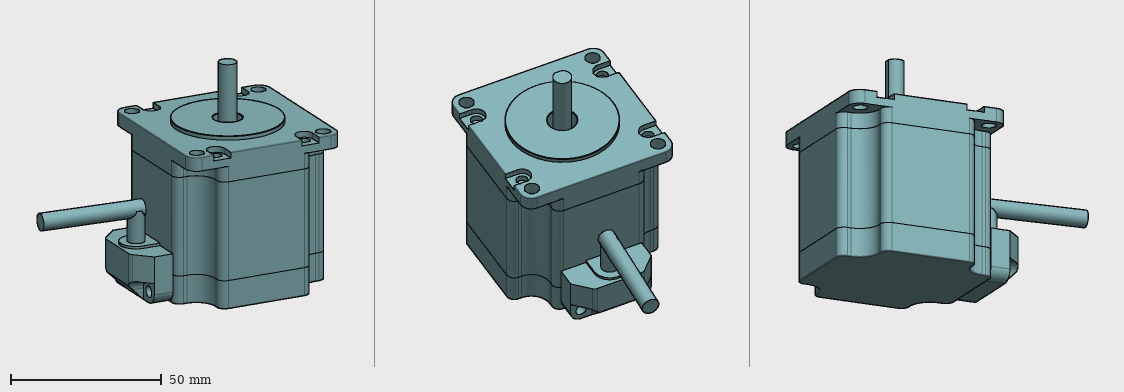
import cadquery as cq
import math


COS_45 = math.sqrt(0.5)

TOTAL_LENGTH = 97.0
BODY_WIDTH = 56.4
HALF_WIDTH = BODY_WIDTH / 2
REAR_CAP_TOP = 10.0
STATOR_TOP = 44.7
FLANGE_TOP = 55.0
PLATE_THICKNESS = 4.85
PLATE_BOTTOM = FLANGE_TOP - PLATE_THICKNESS
PLATE_CORNER_RADIUS = 4.1
PLATE_EDGE_RADIUS = 0.2
CAP_EDGE_RADIUS = 0.3

CHANNEL_RADIUS = 7.0
CHANNEL_CENTER = 24.1
CHANNEL_SIDE = CHANNEL_CENTER - CHANNEL_RADIUS
CHANNEL_LIP_RADIUS = 2.9

PILOT_DIAMETER = 38.1
PILOT_HEIGHT = 1.5
PILOT_CHAMFER = 0.2
BORE_DIAMETER = 10.0
BORE_CHAMFER = 0.2
MOUNT_HOLE_DIAMETER = 5.0
MOUNT_HOLE_OFFSET = 23.6
SCREW_HOLE_DIAMETER = 4.0
SCREW_HOLE_DEPTH = 2.0
SCREW_X = MOUNT_HOLE_OFFSET
SCREW_Y = 16.5
SCREW_SLOT_WIDTH = 6.3
SCREW_SLOT_DEPTH = 2.0

SHAFT_DIAMETER = 6.3
SHAFT_TOP = 76.0
SHAFT_FLAT_BOTTOM = 60.2
SHAFT_FLAT_DEPTH = 0.3

HOUSING_WIDTH = 30.2
HOUSING_DEPTH = 13.0
HOUSING_BOTTOM = 0.2
HOUSING_TOP = 17.6
HOUSING_CHAMFER = 6.0
HOUSING_EDGE_RADIUS = 2.0
LUG_RADIUS = 4.0
LUG_THICKNESS = 7.0
LUG_HOLE_DIAMETER = 4.0
LUG_X = HOUSING_WIDTH / 2 - LUG_RADIUS
LUG_Z = HOUSING_BOTTOM + LUG_RADIUS
WALL_Y = -HALF_WIDTH
HOUSING_FRONT_Y = WALL_Y - HOUSING_DEPTH

CABLE_DIAMETER = 6.0
CABLE_RADIUS = CABLE_DIAMETER / 2
RISER_WALL_DISTANCE = 6.0
RISER_Y = WALL_Y - RISER_WALL_DISTANCE
GROMMET_WIDTH = 11.5
GROMMET_THICKNESS = 0.9
GROMMET_TOP = HOUSING_TOP + GROMMET_THICKNESS
LEAD_Z = 29.7
LEAD_START_Y = -31.8
LEAD_ANGLE = 4.0


def corner_channel_cutter(bottom, top):
    """Blank that is removed at the +X +Y corner: a round channel with rounded lips."""
    lip_start = CHANNEL_SIDE - CHANNEL_LIP_RADIUS
    lip_end = HALF_WIDTH - CHANNEL_LIP_RADIUS
    lip_mid_in = CHANNEL_SIDE - CHANNEL_LIP_RADIUS * (1 - COS_45)
    lip_mid_out = HALF_WIDTH - CHANNEL_LIP_RADIUS * (1 - COS_45)
    channel_mid = CHANNEL_CENTER - CHANNEL_RADIUS * COS_45
    return (
        cq.Workplane("XY", origin=(0, 0, bottom))
        .moveTo(lip_start, HALF_WIDTH)
        .threePointArc((lip_mid_in, lip_mid_out), (CHANNEL_SIDE, lip_end))
        .lineTo(CHANNEL_SIDE, CHANNEL_CENTER)
        .threePointArc((channel_mid, channel_mid), (CHANNEL_CENTER, CHANNEL_SIDE))
        .lineTo(lip_end, CHANNEL_SIDE)
        .threePointArc((lip_mid_out, lip_mid_in), (HALF_WIDTH, lip_start))
        .lineTo(HALF_WIDTH, HALF_WIDTH)
        .close()
        .extrude(top - bottom)
    )


def body_section(bottom, top):
    """Length of the square motor body with a channel along each corner."""
    block = cq.Workplane("XY", origin=(0, 0, bottom)).rect(BODY_WIDTH, BODY_WIDTH).extrude(top - bottom)
    cutter = corner_channel_cutter(bottom, top)
    for quarter in range(4):
        block = block.cut(cutter.rotate((0, 0, 0), (0, 0, 1), 90 * quarter))
    return block


def make_flange():
    """Mounting plate with a pilot disc on top and a short body section below."""
    plate = (
        cq.Workplane("XY", origin=(0, 0, PLATE_BOTTOM))
        .rect(BODY_WIDTH, BODY_WIDTH)
        .extrude(PLATE_THICKNESS)
        .edges("|Z")
        .fillet(PLATE_CORNER_RADIUS)
        .faces(">Z")
        .edges()
        .fillet(PLATE_EDGE_RADIUS)
    )
    pilot = (
        cq.Workplane("XY", origin=(0, 0, FLANGE_TOP))
        .circle(PILOT_DIAMETER / 2)
        .extrude(PILOT_HEIGHT)
        .faces(">Z")
        .chamfer(PILOT_CHAMFER)
    )
    flange = plate.union(pilot).union(body_section(STATOR_TOP, PLATE_BOTTOM))

    pilot_top = FLANGE_TOP + PILOT_HEIGHT
    bore_depth = pilot_top - STATOR_TOP
    bore = cq.Workplane("XY", origin=(0, 0, STATOR_TOP)).circle(BORE_DIAMETER / 2).extrude(bore_depth)
    flange = flange.cut(bore)
    smallest_circle = cq.selectors.RadiusNthSelector(0)
    flange = flange.faces(">Z").edges("%CIRCLE").edges(smallest_circle).chamfer(BORE_CHAMFER)

    mount_pitch = 2 * MOUNT_HOLE_OFFSET
    mount_holes = (
        cq.Workplane("XY", origin=(0, 0, PLATE_BOTTOM))
        .rect(mount_pitch, mount_pitch, forConstruction=True)
        .vertices()
        .circle(MOUNT_HOLE_DIAMETER / 2)
        .extrude(PLATE_THICKNESS)
    )
    flange = flange.cut(mount_holes)

    slot_floor = FLANGE_TOP - SCREW_SLOT_DEPTH
    for side in (-1, 1):
        for y in (-SCREW_Y, SCREW_Y):
            slot = (
                cq.Workplane("XY", origin=(side * HALF_WIDTH, y, slot_floor))
                .slot2D(2 * (HALF_WIDTH - SCREW_X) + SCREW_SLOT_WIDTH, SCREW_SLOT_WIDTH)
                .extrude(SCREW_SLOT_DEPTH)
            )
            hole = (
                cq.Workplane("XY", origin=(side * SCREW_X, y, slot_floor))
                .circle(SCREW_HOLE_DIAMETER / 2)
                .extrude(-SCREW_HOLE_DEPTH)
            )
            flange = flange.cut(slot).cut(hole)
    return flange


def make_shaft():
    """Shaft standing on the stator, with a flat on the +Y side of its upper part."""
    radius = SHAFT_DIAMETER / 2
    shaft = cq.Workplane("XY", origin=(0, 0, STATOR_TOP)).circle(radius).extrude(SHAFT_TOP - STATOR_TOP)
    flat = (
        cq.Workplane("XY", origin=(0, radius, SHAFT_FLAT_BOTTOM))
        .rect(SHAFT_DIAMETER, 2 * SHAFT_FLAT_DEPTH)
        .extrude(SHAFT_TOP - SHAFT_FLAT_BOTTOM)
    )
    return shaft.cut(flat)


def make_connector_housing():
    """Connector housing with beveled front corners and two screw lugs at its foot."""
    half = HOUSING_WIDTH / 2
    housing = (
        cq.Workplane("XY", origin=(0, WALL_Y, HOUSING_BOTTOM))
        .moveTo(-half, 0)
        .lineTo(-half, HOUSING_CHAMFER - HOUSING_DEPTH)
        .lineTo(HOUSING_CHAMFER - half, -HOUSING_DEPTH)
        .lineTo(half - HOUSING_CHAMFER, -HOUSING_DEPTH)
        .lineTo(half, HOUSING_CHAMFER - HOUSING_DEPTH)
        .lineTo(half, 0)
        .close()
        .extrude(HOUSING_TOP - HOUSING_BOTTOM)
    )
    housing = housing.faces("<Y").edges("|Z").fillet(HOUSING_EDGE_RADIUS)

    slope = (
        cq.Workplane("YZ", origin=(-half, 0, HOUSING_BOTTOM))
        .moveTo(HOUSING_FRONT_Y, 0)
        .lineTo(HOUSING_FRONT_Y + HOUSING_CHAMFER, 0)
        .lineTo(HOUSING_FRONT_Y, HOUSING_CHAMFER)
        .close()
        .extrude(HOUSING_WIDTH)
    )
    housing = housing.cut(slope)
    housing = housing.faces("<Z").edges("|Y").fillet(LUG_RADIUS)

    lug_front_y = WALL_Y - LUG_THICKNESS
    for side in (-1, 1):
        relief = (
            cq.Workplane("XZ", origin=(side * LUG_X, lug_front_y, LUG_Z))
            .moveTo(side * LUG_RADIUS, LUG_RADIUS)
            .lineTo(0, LUG_RADIUS)
            .threePointArc(
                (-side * LUG_RADIUS * COS_45, LUG_RADIUS * COS_45),
                (-side * LUG_RADIUS, 0),
            )
            .lineTo(-side * LUG_RADIUS, -LUG_RADIUS)
            .lineTo(side * LUG_RADIUS, -LUG_RADIUS)
            .close()
            .extrude(HOUSING_DEPTH - LUG_THICKNESS)
        )
        hole = (
            cq.Workplane("XZ", origin=(side * LUG_X, WALL_Y, LUG_Z))
            .circle(LUG_HOLE_DIAMETER / 2)
            .extrude(LUG_THICKNESS)
        )
        housing = housing.cut(relief).cut(hole)
    return housing


def make_grommet():
    """D-shaped plate on top of the connector housing, straight side against the motor."""
    radius = GROMMET_WIDTH / 2
    return (
        cq.Workplane("XY", origin=(0, 0, HOUSING_TOP))
        .moveTo(-radius, WALL_Y)
        .lineTo(-radius, RISER_Y)
        .threePointArc((0, RISER_Y - radius), (radius, RISER_Y))
        .lineTo(radius, WALL_Y)
        .close()
        .extrude(GROMMET_THICKNESS)
    )


def make_cable_lead():
    """Horizontal cable, turned slightly toward -X, ending at the full outer length."""
    angle = math.radians(LEAD_ANGLE)
    end_y = HALF_WIDTH - TOTAL_LENGTH + CABLE_RADIUS * math.sin(angle)
    length = (LEAD_START_Y - end_y) / math.cos(angle)
    direction = cq.Vector(-math.sin(angle), -math.cos(angle), 0)
    start = cq.Vector(0, LEAD_START_Y, LEAD_Z)
    return cq.Workplane(cq.Solid.makeCylinder(CABLE_RADIUS, length, start, direction))


def make_cable_riser(lead):
    """Upright cable piece from the grommet up to the horizontal cable that it carries."""
    height = LEAD_Z - GROMMET_TOP
    riser = cq.Workplane("XY", origin=(0, RISER_Y, GROMMET_TOP)).circle(CABLE_RADIUS).extrude(height)
    return riser.cut(lead)


rear_cap = body_section(0, REAR_CAP_TOP).faces("<Z").edges().fillet(CAP_EDGE_RADIUS)
stator = body_section(REAR_CAP_TOP, STATOR_TOP)
flange = make_flange()
shaft = make_shaft()
connector_housing = make_connector_housing()
grommet = make_grommet()
cable_lead = make_cable_lead()
cable_riser = make_cable_riser(cable_lead)

result = cq.Compound.makeCompound(
    [
        rear_cap.val(),
        stator.val(),
        flange.val(),
        shaft.val(),
        connector_housing.val(),
        grommet.val(),
        cable_lead.val(),
        cable_riser.val(),
    ]
)